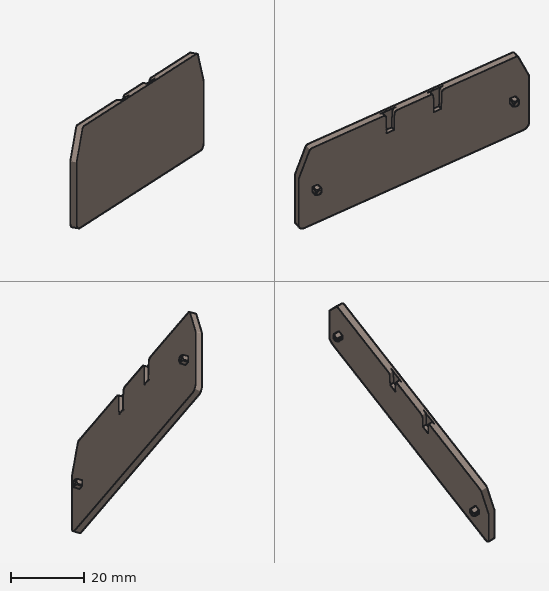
import cadquery as cq
import math

plate_thickness = 2.0
plate_length = 75.14
plate_height = 28.9
shoulder_run = 3.7
shoulder_drop = 9.3
shoulder_top_radius = 1.0
shoulder_foot_radius = 0.5
base_radius = 1.9

pin_length = 2.0
pin_width = 2.0
pin_corner_radius = 1.27
pin_tip_chamfer = 0.47
pin_offset = 32.2
pin_height = 13.2

recess_depth = 1.2
recess_floor_width = 2.45
recess_height = 7.0
recess_offset = 7.7
recess_wall_lean = math.radians(1.2)
recess_mouth_radius = 1.1


def make_plate():
    """A rectangle with sloping shoulders and every corner rounded."""
    half_length = plate_length / 2
    half_top = half_length - shoulder_run
    shoulder_z = plate_height - shoulder_drop
    outline = [
        (-half_length, 0),
        (half_length, 0),
        (half_length, shoulder_z),
        (half_top, plate_height),
        (-half_top, plate_height),
        (-half_length, shoulder_z),
    ]
    plate = cq.Workplane("YZ").polyline(outline).close().extrude(plate_thickness)
    plate = plate.edges("|X and (not <Z) and (not >Z)").fillet(shoulder_foot_radius)
    plate = plate.edges("|X and >Z").fillet(shoulder_top_radius)
    return plate.edges("|X and <Z").fillet(base_radius)


def make_pin(y):
    """A square pin whose corners and tip are trimmed by a chamfered cylinder."""
    axis_plane = cq.Workplane("YZ").center(y, pin_height)
    square = axis_plane.rect(pin_width, pin_width).extrude(-pin_length)
    trim = axis_plane.circle(pin_corner_radius).extrude(-pin_length)
    return square.intersect(trim.faces("<X").chamfer(pin_tip_chamfer))


def make_recess(y):
    """The cutting body of a recess whose leaning walls round over into the plate's top edge."""
    half_floor = recess_floor_width / 2
    floor_z = plate_height - recess_height
    tangent_z = plate_height - recess_mouth_radius * (1 - math.sin(recess_wall_lean))
    half_throat = half_floor + (tangent_z - floor_z) * math.tan(recess_wall_lean)
    half_mouth = half_throat + recess_mouth_radius * math.cos(recess_wall_lean)
    return (
        cq.Workplane("YZ")
        .center(y, 0)
        .moveTo(-half_floor, floor_z)
        .lineTo(half_floor, floor_z)
        .lineTo(half_throat, tangent_z)
        .radiusArc((half_mouth, plate_height), recess_mouth_radius)
        .lineTo(-half_mouth, plate_height)
        .radiusArc((-half_throat, tangent_z), recess_mouth_radius)
        .close()
        .extrude(recess_depth)
    )


result = make_plate()
for side in (-1, 1):
    result = result.cut(make_recess(side * recess_offset))
    result = result.union(make_pin(side * pin_offset))